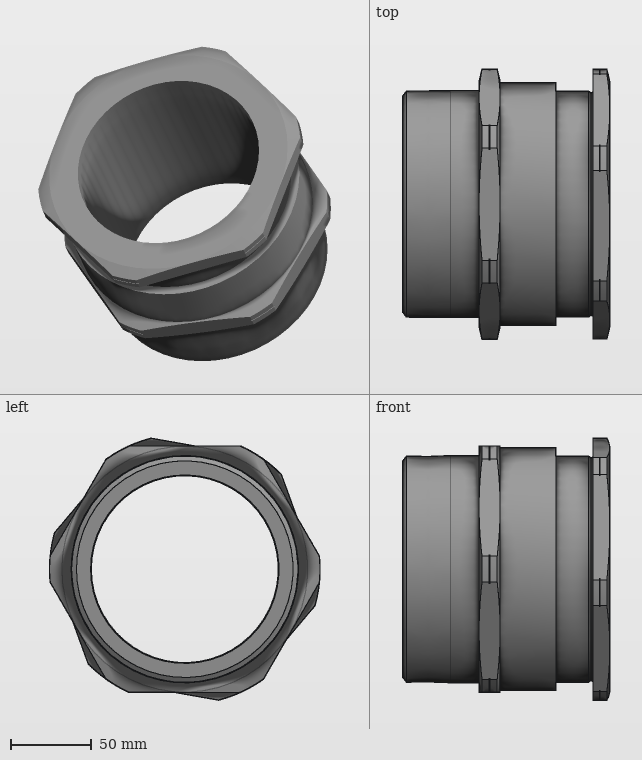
import cadquery as cq

entry_chamfer_end = 2.3
taper_end = 29.5
body_hex_start = 47.3
body_hex_end = 60.3
collar_end = 94.8
rear_chamfer_start = 115.1
neck_start = 116.5
nut_start = 117.6
total_length = 128.2

bore_radius = 57.8
bore_chamfer = 0.5
entry_face_radius = 67.0
taper_start_radius = 70.0
sleeve_radius = 70.4
collar_radius = 75.2
rear_radius = 70.0
neck_radius = 68.9
neck_end_radius = 69.5

hex_flats = 152.5
hex_corner_radius = 83.8
hex_face_radius = 76.0
hex_chamfer_length = 1.8
nut_turn = 10.0
hex_sides = 6
flat_to_z = 30

groove_width = 0.5
groove_depth = 0.3


def revolve_about_x(points):
    """Turn an (axial, radial) outline about the X axis."""
    return cq.Workplane("XY").polyline(points).close().revolve(360, (0, 0, 0), (1, 0, 0))


def hexagon(start, end, turn, chamfer_front):
    """Hexagon with flats facing +Z and -Z at zero turn, chamfered at the rear and optionally the front."""
    prism = (
        cq.Workplane("YZ", origin=(start, 0, 0))
        .polygon(hex_sides, hex_flats, circumscribed=True)
        .extrude(end - start)
        .rotate((0, 0, 0), (1, 0, 0), flat_to_z + turn)
    )
    land_start = start
    if chamfer_front:
        land_start = start + hex_chamfer_length
        front = [(start, hex_face_radius), (land_start, hex_corner_radius)]
    else:
        front = [(start, hex_corner_radius)]
    land_end = end - hex_chamfer_length
    rear = [(land_end, hex_corner_radius), (end, hex_face_radius)]
    groove_start = (land_start + land_end - groove_width) / 2
    groove_end = groove_start + groove_width
    groove_radius = hex_corner_radius - groove_depth
    groove = [
        (groove_start, hex_corner_radius),
        (groove_start, groove_radius),
        (groove_end, groove_radius),
        (groove_end, hex_corner_radius),
    ]
    envelope = revolve_about_x([(start, 0)] + front + groove + rear + [(end, 0)])
    return prism.intersect(envelope)


def turned_body():
    """Stepped round body from the entry end to the inside of the nut."""
    return revolve_about_x([
        (0, 0),
        (0, entry_face_radius),
        (entry_chamfer_end, taper_start_radius),
        (taper_end, sleeve_radius),
        (body_hex_end, sleeve_radius),
        (body_hex_end, collar_radius),
        (collar_end, collar_radius),
        (collar_end, rear_radius),
        (rear_chamfer_start, rear_radius),
        (neck_start, neck_radius),
        (nut_start, neck_end_radius),
        (total_length, neck_end_radius),
        (total_length, 0),
    ])


def bore():
    """Through bore with a small chamfer at the entry."""
    return revolve_about_x([
        (0, 0),
        (0, bore_radius + bore_chamfer),
        (bore_chamfer, bore_radius),
        (total_length, bore_radius),
        (total_length, 0),
    ])


body_hexagon = hexagon(body_hex_start, body_hex_end, 0, chamfer_front=True)
nut = hexagon(nut_start, total_length, nut_turn, chamfer_front=False)
result = turned_body().union(body_hexagon).union(nut).cut(bore())